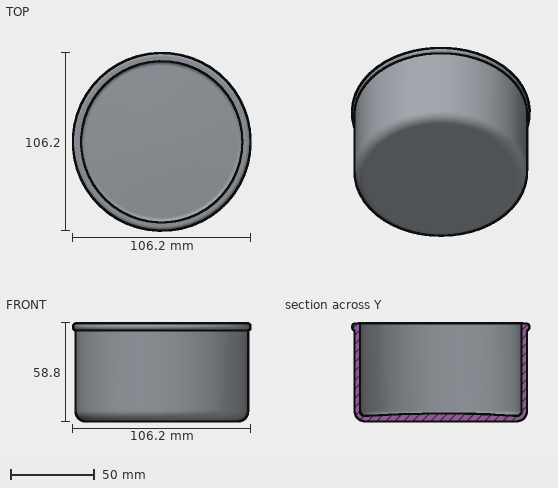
import cadquery as cq
import math

height = 58.8
rim_radius = 53.1
wall_radius = 51.6
wall = 3.5
floor_thickness = 3.5
floor_rise = 1.5

outer_bottom_fillet = 6.4
inner_bottom_fillet = 2.7
mouth_fillet = 0.6
bead_radius = 2.3

cavity_radius = wall_radius - wall
floor_radius = cavity_radius - inner_bottom_fillet
dome_radius = (floor_radius**2 + floor_rise**2) / (2 * floor_rise)

bead_center_radius = rim_radius - bead_radius
bead_center_height = height - bead_radius
bead_foot_drop = math.sqrt(bead_radius**2 - (wall_radius - bead_center_radius) ** 2)
bead_foot_height = bead_center_height - bead_foot_drop


def dome_height(radius):
    """Height of the domed floor at a distance from the axis."""
    drop = dome_radius - math.sqrt(dome_radius**2 - radius**2)
    return floor_thickness + floor_rise - drop


def quarter_middle(center_radius, center_height, radius, outward, upward):
    """Middle point of a quarter round; outward and upward are +1 or -1."""
    reach = radius * math.sqrt(0.5)
    return (center_radius + outward * reach, center_height + upward * reach)


outer_round_middle = quarter_middle(
    wall_radius - outer_bottom_fillet, outer_bottom_fillet, outer_bottom_fillet, 1, -1
)
mouth_middle = quarter_middle(
    cavity_radius + mouth_fillet, height - mouth_fillet, mouth_fillet, -1, 1
)
inner_round_middle = quarter_middle(
    floor_radius, floor_thickness + inner_bottom_fillet, inner_bottom_fillet, 1, -1
)

section = (
    cq.Workplane("XZ")
    .lineTo(wall_radius - outer_bottom_fillet, 0)
    .threePointArc(outer_round_middle, (wall_radius, outer_bottom_fillet))
    .lineTo(wall_radius, bead_foot_height)
    .threePointArc((rim_radius, bead_center_height), (bead_center_radius, height))
    .lineTo(cavity_radius + mouth_fillet, height)
    .threePointArc(mouth_middle, (cavity_radius, height - mouth_fillet))
    .lineTo(cavity_radius, floor_thickness + inner_bottom_fillet)
    .threePointArc(inner_round_middle, (floor_radius, floor_thickness))
    .threePointArc((floor_radius / 2, dome_height(floor_radius / 2)), (0, dome_height(0)))
    .close()
)

result = section.revolve(360, (0, 0), (0, 1))